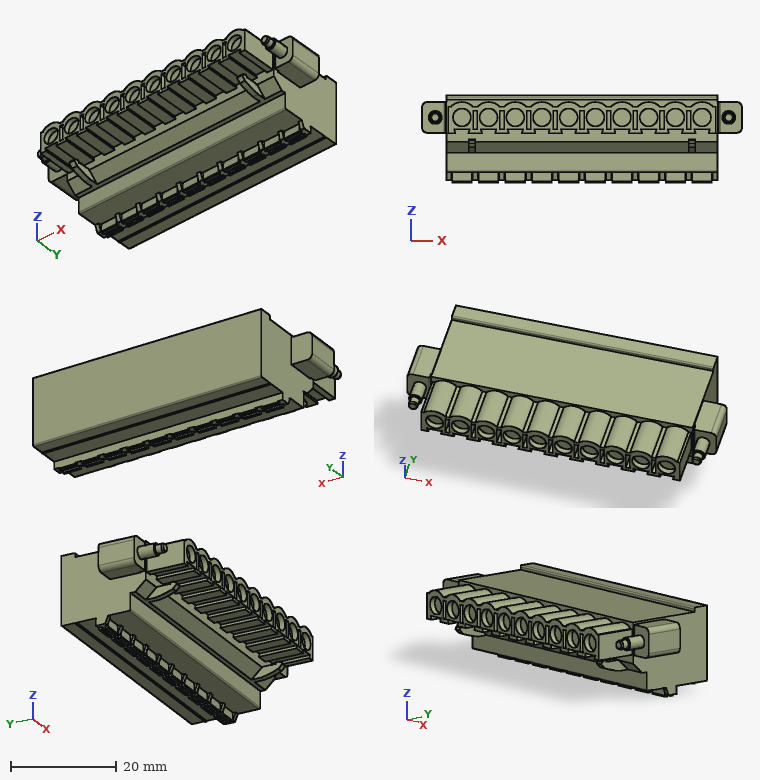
import cadquery as cq
import math

POLE_COUNT = 10
POLE_PITCH = 5.08
OVERALL_WIDTH = 60.96
OVERALL_HEIGHT = 16.71
OVERLAP = 0.5

HOUSING_WIDTH = 51.6
HOUSING_BACK_Y = 18.4
HOUSING_TOP_Z = 13.8
HOUSING_EDGE_RADIUS = 0.3
RIM_TOP_Z = 14.67
RIM_FRONT_Y = 15.3
RIM_EDGE_RADIUS = 0.3
FRONT_BOTTOM_Z = 5.78
UNDERCUT_Y = 2.3
STEP_Y = 3.35
STEP_Z = 3.68

RIDGE_Y = 15.15
RIDGE_WIDTH = 0.3
RIDGE_HEIGHT = 0.15

BARREL_LENGTH = 8.2
BARREL_AXIS_Z = 10.42
BARREL_RADIUS = 2.94
BARREL_HOLE_DIAMETER = 3.4
BARREL_HOLE_DEPTH = 1.2
COMB_WIDTH = 51.0
COMB_BOTTOM_Z = 7.45
COMB_SHOULDER_Z = 12.44
SLOT_WIDTH = 0.8
SLOT_BOTTOM_Z = 8.2
SLOT_TOP_Z = 11.73
KEYWAY_TOP_WIDTH = 3.0
KEYWAY_BOTTOM_WIDTH = 2.5

FLANGE_DEPTH = 7.75
FLANGE_HEIGHT = 5.94
FLANGE_RADIUS = 1.1
GROOVE_WIDTH = 0.25
GROOVE_DEPTH = 1.1
GROOVE_LIP_RADIUS = 0.25

SCREW_X = 27.93
SCREW_DIAMETER = 2.5
SCREW_SHOULDER_Y = -3.65
SCREW_SHOULDER_CHAMFER = 0.15
TIP_DIAMETER = 1.8
TIP_END_Y = -5.35
TIP_CHAMFER_LENGTH = 0.4
TIP_CHAMFER_WIDTH = 0.15

FINGER_X = 20.95
FINGER_WIDTH = 1.3
FINGER_TOP_Z = 5.85
FINGER_CURVE_START_Y = 0.2
FINGER_CURVE_MIDDLE = (-1.7, 4.08)
FINGER_CURVE_END = (-3.55, 4.7)
NOSE_TIP = (-4.4, 5.55)
NOSE_BEVEL_FRONT = (-4.15, 5.98)
NOSE_TOP_Z = 6.22
NOSE_TOP_FRONT_Y = -3.6
NOSE_TOP_BACK_Y = -3.25
NOSE_BACK_Y = -2.9

RAIL_BACK_Y = 10.85
RAIL_CORE_FRONT_Y = 9.2
RAIL_BOTTOM_Z = -1.56
RIB_WIDTH = 0.95
RIB_FRONT_TOP_Y = 8.2
RIB_CHAMFER_HEIGHT = 0.2
RIB_CHAMFER_DEPTH = 0.15
TOOTH_WIDTH = 3.75
TOOTH_FRONT_Y = 8.76
TOOTH_BOTTOM_Z = RIM_TOP_Z - OVERALL_HEIGHT
TOOTH_GAP_FRONT_Y = 9.45
TOOTH_GAP_BACK_Y = 10.15
TOOTH_CHAMFER_HEIGHT = 0.28
TOOTH_CHAMFER_DEPTH = 0.12

POLE_XS = [(i - (POLE_COUNT - 1) / 2) * POLE_PITCH for i in range(POLE_COUNT)]
GAP_XS = [x + POLE_PITCH / 2 for x in POLE_XS[:-1]]


def side_prism(outline, center_x, width):
    """Extrude a closed outline of (y, z) points along X, centred on center_x."""
    sketch = cq.Workplane("YZ", origin=(center_x - width / 2, 0, 0))
    return sketch.polyline(outline).close().extrude(width)


def box(x_range, y_range, z_range):
    """Box between the given (low, high) limits."""
    size = [high - low for low, high in (x_range, y_range, z_range)]
    corner = (x_range[0], y_range[0], z_range[0])
    return cq.Workplane("XY").box(*size, centered=False).translate(corner)


def centered_range(center, width):
    return (center - width / 2, center + width / 2)


def make_housing():
    outline = [
        (HOUSING_BACK_Y, 0),
        (HOUSING_BACK_Y, RIM_TOP_Z),
        (RIM_FRONT_Y, RIM_TOP_Z),
        (RIM_FRONT_Y, HOUSING_TOP_Z),
        (0, HOUSING_TOP_Z),
        (0, FRONT_BOTTOM_Z),
        (UNDERCUT_Y, STEP_Z),
        (STEP_Y, STEP_Z),
        (STEP_Y, 0),
    ]
    housing = side_prism(outline, 0, HOUSING_WIDTH)
    rim_edge = cq.selectors.NearestToPointSelector((0, RIM_FRONT_Y, RIM_TOP_Z))
    housing = housing.edges(rim_edge).fillet(RIM_EDGE_RADIUS)
    return housing.faces("<Z").edges("|X").fillet(HOUSING_EDGE_RADIUS)


def make_underside_ridge():
    y_range = centered_range(RIDGE_Y, RIDGE_WIDTH)
    return box(centered_range(0, HOUSING_WIDTH), y_range, (-RIDGE_HEIGHT, OVERLAP))


def make_barrel_comb():
    """Row of barrels joined by a common block, with coding slots and keyways."""
    length_range = (-BARREL_LENGTH, OVERLAP)
    comb = box(centered_range(0, COMB_WIDTH), length_range, (COMB_BOTTOM_Z, COMB_SHOULDER_Z))

    front_plane = cq.Workplane("XZ", origin=(0, OVERLAP, 0))
    half_chord = math.sqrt(BARREL_RADIUS**2 - (COMB_SHOULDER_Z - BARREL_AXIS_Z) ** 2)
    for x in POLE_XS:
        crown = (
            front_plane.moveTo(x - half_chord, COMB_SHOULDER_Z)
            .threePointArc((x, BARREL_AXIS_Z + BARREL_RADIUS), (x + half_chord, COMB_SHOULDER_Z))
            .close()
            .extrude(BARREL_LENGTH + OVERLAP)
        )
        comb = comb.union(crown)

    axes = [(x, BARREL_AXIS_Z) for x in POLE_XS]
    hole_plane = cq.Workplane("XZ", origin=(0, BARREL_HOLE_DEPTH - BARREL_LENGTH, 0))
    holes = hole_plane.pushPoints(axes).circle(BARREL_HOLE_DIAMETER / 2).extrude(BARREL_HOLE_DEPTH)
    comb = comb.cut(holes)

    keyway_plane = cq.Workplane("XZ")
    for x in POLE_XS:
        keyway = keyway_plane.polyline([
            (x - KEYWAY_BOTTOM_WIDTH / 2, COMB_BOTTOM_Z),
            (x + KEYWAY_BOTTOM_WIDTH / 2, COMB_BOTTOM_Z),
            (x + KEYWAY_TOP_WIDTH / 2, SLOT_BOTTOM_Z),
            (x - KEYWAY_TOP_WIDTH / 2, SLOT_BOTTOM_Z),
        ]).close().extrude(BARREL_LENGTH)
        comb = comb.cut(keyway)
    for x in GAP_XS:
        comb = comb.cut(box(centered_range(x, SLOT_WIDTH), (-BARREL_LENGTH, 0), (SLOT_BOTTOM_Z, SLOT_TOP_Z)))
    return comb


def make_right_flange():
    """Flange on the +X side, separated from the housing by a short groove at the front."""
    inner_x = HOUSING_WIDTH / 2
    outer_x = OVERALL_WIDTH / 2
    bottom_z = BARREL_AXIS_Z - FLANGE_HEIGHT / 2
    flange = box((inner_x - OVERLAP, outer_x), (0, FLANGE_DEPTH), (bottom_z, bottom_z + FLANGE_HEIGHT))
    flange = flange.edges("|Y and >X").fillet(FLANGE_RADIUS)

    groove_x = inner_x + GROOVE_WIDTH
    groove = (
        cq.Workplane("XY", origin=(0, 0, bottom_z))
        .moveTo(inner_x, 0)
        .lineTo(inner_x, GROOVE_DEPTH)
        .lineTo(groove_x, GROOVE_DEPTH)
        .lineTo(groove_x, GROOVE_LIP_RADIUS)
        .radiusArc((groove_x + GROOVE_LIP_RADIUS, 0), -GROOVE_LIP_RADIUS)
        .close()
        .extrude(FLANGE_HEIGHT)
    )
    return flange.cut(groove)


def make_right_screw():
    """Stepped screw end, revolved about an axis parallel to Y."""
    radius = SCREW_DIAMETER / 2
    tip_radius = TIP_DIAMETER / 2
    half_section = [
        (OVERLAP, 0),
        (OVERLAP, radius),
        (SCREW_SHOULDER_Y + SCREW_SHOULDER_CHAMFER, radius),
        (SCREW_SHOULDER_Y, radius - SCREW_SHOULDER_CHAMFER),
        (SCREW_SHOULDER_Y, tip_radius),
        (TIP_END_Y + TIP_CHAMFER_LENGTH, tip_radius),
        (TIP_END_Y, tip_radius - TIP_CHAMFER_WIDTH),
        (TIP_END_Y, 0),
    ]
    section = cq.Workplane("YZ").polyline(half_section).close()
    return section.revolve(360, (0, 0, 0), (1, 0, 0)).translate((SCREW_X, 0, BARREL_AXIS_Z))


def make_right_finger():
    """Latch finger reaching forward from the sloped undercut, with a raised nose."""
    return (
        cq.Workplane("YZ", origin=(FINGER_X - FINGER_WIDTH / 2, 0, 0))
        .moveTo(UNDERCUT_Y, STEP_Z)
        .lineTo(FINGER_CURVE_START_Y, STEP_Z)
        .threePointArc(FINGER_CURVE_MIDDLE, FINGER_CURVE_END)
        .lineTo(*NOSE_TIP)
        .lineTo(*NOSE_BEVEL_FRONT)
        .lineTo(NOSE_TOP_FRONT_Y, NOSE_TOP_Z)
        .lineTo(NOSE_TOP_BACK_Y, NOSE_TOP_Z)
        .lineTo(NOSE_BACK_Y, FINGER_TOP_Z)
        .lineTo(UNDERCUT_Y, FINGER_TOP_Z)
        .close()
        .extrude(FINGER_WIDTH)
    )


def make_rib(x_range):
    """Sloped rib standing in front of the rail core, between two teeth."""
    outline = [
        (RAIL_BACK_Y, OVERLAP),
        (RIB_FRONT_TOP_Y, OVERLAP),
        (RIB_FRONT_TOP_Y, 0),
        (TOOTH_FRONT_Y, RAIL_BOTTOM_Z + RIB_CHAMFER_HEIGHT),
        (TOOTH_FRONT_Y + RIB_CHAMFER_DEPTH, RAIL_BOTTOM_Z),
        (RAIL_BACK_Y, RAIL_BOTTOM_Z),
    ]
    return side_prism(outline, sum(x_range) / 2, x_range[1] - x_range[0])


def make_tooth(x):
    """Tooth of the rail, with a channel along its underside."""
    outline = [
        (RAIL_BACK_Y, OVERLAP),
        (TOOTH_FRONT_Y, OVERLAP),
        (TOOTH_FRONT_Y, TOOTH_BOTTOM_Z + TOOTH_CHAMFER_HEIGHT),
        (TOOTH_FRONT_Y + TOOTH_CHAMFER_DEPTH, TOOTH_BOTTOM_Z),
        (TOOTH_GAP_FRONT_Y, TOOTH_BOTTOM_Z),
        (TOOTH_GAP_FRONT_Y, RAIL_BOTTOM_Z),
        (TOOTH_GAP_BACK_Y, RAIL_BOTTOM_Z),
        (TOOTH_GAP_BACK_Y, TOOTH_BOTTOM_Z),
        (RAIL_BACK_Y - TOOTH_CHAMFER_DEPTH, TOOTH_BOTTOM_Z),
        (RAIL_BACK_Y, TOOTH_BOTTOM_Z + TOOTH_CHAMFER_HEIGHT),
    ]
    return side_prism(outline, x, TOOTH_WIDTH)


def make_rail():
    half_width = HOUSING_WIDTH / 2
    rail = box((-half_width, half_width), (RAIL_CORE_FRONT_Y, RAIL_BACK_Y), (RAIL_BOTTOM_Z, OVERLAP))
    for x in GAP_XS:
        rail = rail.union(make_rib(centered_range(x, RIB_WIDTH)))
    end_rib_inner_x = POLE_COUNT * POLE_PITCH / 2 - RIB_WIDTH / 2
    right_end_rib = make_rib((end_rib_inner_x, half_width))
    rail = rail.union(right_end_rib).union(right_end_rib.mirror("YZ"))
    for x in POLE_XS:
        rail = rail.union(make_tooth(x))
    return rail


result = make_housing().union(make_underside_ridge()).union(make_barrel_comb()).union(make_rail())
for right_piece in (make_right_flange(), make_right_screw(), make_right_finger()):
    result = result.union(right_piece).union(right_piece.mirror("YZ"))